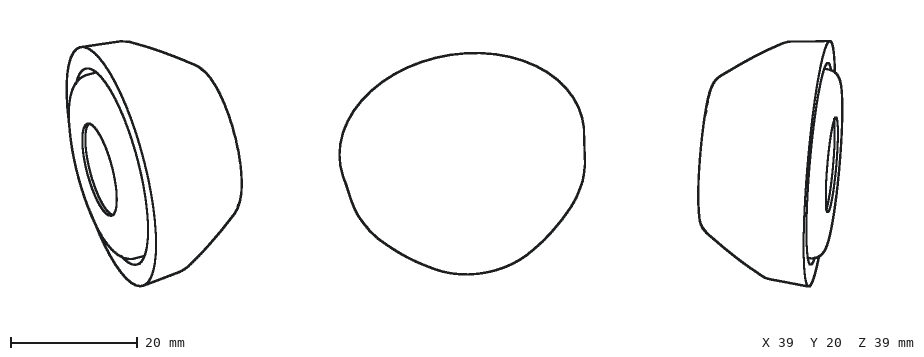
import cadquery as cq
import math

BASE_DIAMETER = 39.0
TOTAL_DEPTH = 20.0
FOOT_HEIGHT = 2.0

BODY_HEIGHT = TOTAL_DEPTH - FOOT_HEIGHT
SHOULDER_HEIGHT = 6.85
WALL_TAPER = 5.8
CROWN_RADIUS = 11.55
FLANK_BULGE = 0.292
EDGE_ROUNDING = 3.0

FOOT_DIAMETER = 30.0
FOOT_ROUNDING = FOOT_HEIGHT
GROOVE_DIAMETER = 32.0
GROOVE_DEPTH = 5.0
RECESS_DIAMETER = 15.0
RECESS_DEPTH = 0.5


def disc(diameter, start, height):
    """Cylinder about Y, from Y = start toward +Y."""
    plane = cq.Workplane("XZ", origin=(0, start, 0))
    return plane.circle(diameter / 2).extrude(-height)


def make_body():
    base_radius = BASE_DIAMETER / 2
    shoulder_radius = base_radius - SHOULDER_HEIGHT * math.tan(math.radians(WALL_TAPER))

    flank_run = shoulder_radius - CROWN_RADIUS
    flank_rise = BODY_HEIGHT - SHOULDER_HEIGHT
    flank_length = math.hypot(flank_run, flank_rise)
    flank_middle = (
        (shoulder_radius + CROWN_RADIUS) / 2 + FLANK_BULGE * flank_rise / flank_length,
        (SHOULDER_HEIGHT + BODY_HEIGHT) / 2 + FLANK_BULGE * flank_run / flank_length,
    )
    profile = (
        cq.Workplane("XY")
        .lineTo(base_radius, 0)
        .lineTo(shoulder_radius, SHOULDER_HEIGHT)
        .threePointArc(flank_middle, (CROWN_RADIUS, BODY_HEIGHT))
        .lineTo(0, BODY_HEIGHT)
        .close()
    )
    body = profile.revolve(360, (0, 0, 0), (0, 1, 0))
    rounded_edges = cq.selectors.BoxSelector(
        (-BASE_DIAMETER, SHOULDER_HEIGHT / 2, -BASE_DIAMETER),
        (BASE_DIAMETER, TOTAL_DEPTH, BASE_DIAMETER),
    )
    return body.edges("%CIRCLE").edges(rounded_edges).fillet(EDGE_ROUNDING)


def make_foot():
    foot = disc(FOOT_DIAMETER, -FOOT_HEIGHT, FOOT_HEIGHT + GROOVE_DEPTH)
    foot = foot.faces("<Y").edges().fillet(FOOT_ROUNDING)
    return foot.cut(disc(RECESS_DIAMETER, -FOOT_HEIGHT, RECESS_DEPTH))


socket = disc(GROOVE_DIAMETER, 0, GROOVE_DEPTH)
result = make_body().cut(socket).union(make_foot())